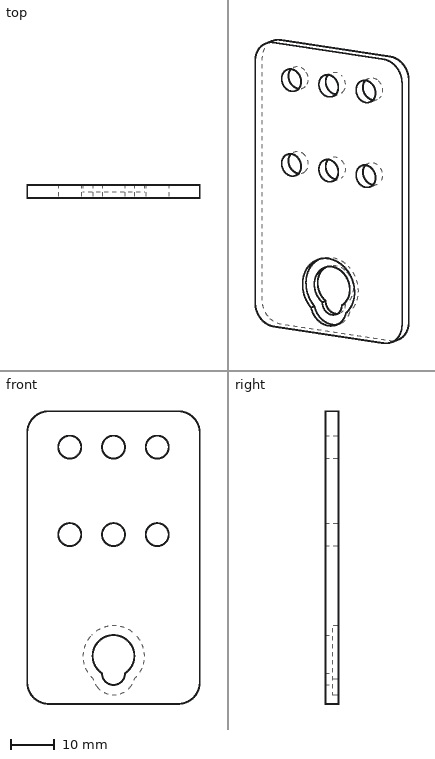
import cadquery as cq

plate_width = 39.5
plate_height = 67.0
plate_thickness = 3.0
corner_radius = 5.0

hole_diameter = 5.2
hole_columns = 3
hole_rows = 2
column_pitch = 10.0
row_pitch = 20.0
top_row_to_edge = 8.25

keyhole_head_diameter = 9.5
keyhole_slot_diameter = 5.2
keyhole_head_to_edge = 11.0
keyhole_offset = 4.0

keyhole_lip_thickness = 1.5
relief_margin = 2.25

plate_top = plate_height / 2
plate_bottom = -plate_height / 2
plate_front = -plate_thickness / 2


def make_plate():
    """Flat plate with four rounded corners, centred on the origin."""
    plate = cq.Workplane("XY").box(plate_width, plate_thickness, plate_height)
    return plate.edges("|Y").fillet(corner_radius)


def cylinders(points, diameter, start_y, length):
    """Cylinders running towards +Y from start_y, centred on the given (x, z) points."""
    return (
        cq.Workplane("XZ", origin=(0, start_y, 0))
        .pushPoints(points)
        .circle(diameter / 2)
        .extrude(-length)
    )


def mounting_hole_centres():
    """Hole centres as (x, z), symmetric about the plate's vertical centreline."""
    first_x = -(hole_columns - 1) * column_pitch / 2
    first_z = plate_top - top_row_to_edge
    return [
        (first_x + column * column_pitch, first_z - row * row_pitch)
        for row in range(hole_rows)
        for column in range(hole_columns)
    ]


def cut_mounting_holes(plate):
    holes = cylinders(mounting_hole_centres(), hole_diameter, plate_front, plate_thickness)
    return plate.cut(holes)


def keyhole_prism(margin, start_y, length):
    """Keyhole outline, grown by margin all round, running towards +Y from start_y."""
    head_z = plate_bottom + keyhole_head_to_edge
    slot_z = head_z - keyhole_offset
    head = cylinders([(0, head_z)], keyhole_head_diameter + 2 * margin, start_y, length)
    slot = cylinders([(0, slot_z)], keyhole_slot_diameter + 2 * margin, start_y, length)
    return head.union(slot)


def cut_keyhole(plate):
    """Keyhole through the plate, leaving a thin lip at the front of the relief."""
    opening = keyhole_prism(0, plate_front, plate_thickness)
    relief_depth = plate_thickness - keyhole_lip_thickness
    relief = keyhole_prism(relief_margin, plate_front + keyhole_lip_thickness, relief_depth)
    return plate.cut(opening).cut(relief)


result = cut_keyhole(cut_mounting_holes(make_plate()))